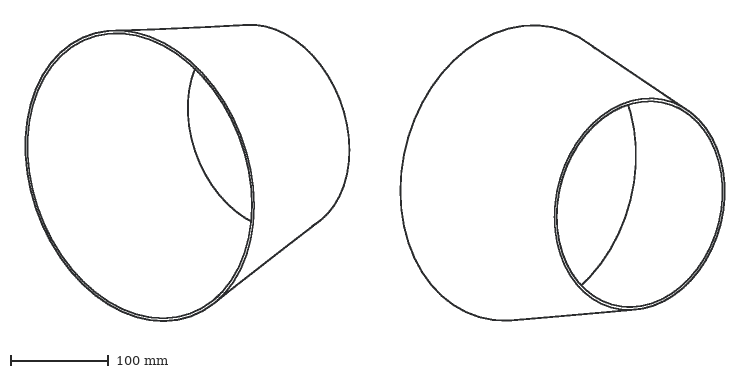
import cadquery as cq

LENGTH = 203.0
WIDE_DIAMETER = 306.0
NARROW_DIAMETER = 219.0
WALL = 3.0

wide_radius = WIDE_DIAMETER / 2
narrow_radius = NARROW_DIAMETER / 2

wall_section = (
    cq.Workplane("XY")
    .moveTo(wide_radius - WALL, 0)
    .lineTo(wide_radius, 0)
    .lineTo(narrow_radius, LENGTH)
    .lineTo(narrow_radius - WALL, LENGTH)
    .close()
)

result = wall_section.revolve(360, (0, 0, 0), (0, 1, 0))